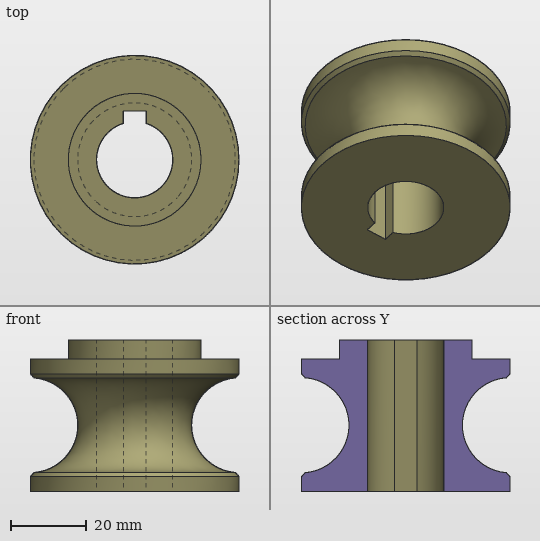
import cadquery as cq
import math

flange_radius = 27.5
total_height = 40.0
hub_radius = 17.5
hub_height = 5.0
body_height = total_height - hub_height

groove_radius = 12.5
groove_middle = body_height / 2
rim_thickness = 4.0
rim_bevel_width = 1.0

bore_radius = 10.0
key_width = 6.0
key_top = 12.8


def make_roller():
    """Revolve the half profile (radius, height) about the Z axis."""
    neck_radius = flange_radius - groove_radius
    lip_radius = flange_radius - rim_bevel_width
    lip_offset = math.sqrt(groove_radius**2 - rim_bevel_width**2)
    profile = (
        cq.Workplane("XZ")
        .moveTo(0, 0)
        .lineTo(flange_radius, 0)
        .lineTo(flange_radius, rim_thickness)
        .lineTo(lip_radius, groove_middle - lip_offset)
        .threePointArc(
            (neck_radius, groove_middle),
            (lip_radius, groove_middle + lip_offset),
        )
        .lineTo(flange_radius, body_height - rim_thickness)
        .lineTo(flange_radius, body_height)
        .lineTo(hub_radius, body_height)
        .lineTo(hub_radius, total_height)
        .lineTo(0, total_height)
        .close()
    )
    return profile.revolve(360, (0, 0, 0), (0, 1, 0))


def make_keyed_bore():
    """Through bore with a rectangular keyway on the +Y side."""
    bore = cq.Workplane("XY").circle(bore_radius).extrude(total_height)
    keyway = (
        cq.Workplane("XY")
        .center(0, key_top / 2)
        .rect(key_width, key_top)
        .extrude(total_height)
    )
    return bore.union(keyway)


result = make_roller().cut(make_keyed_bore())